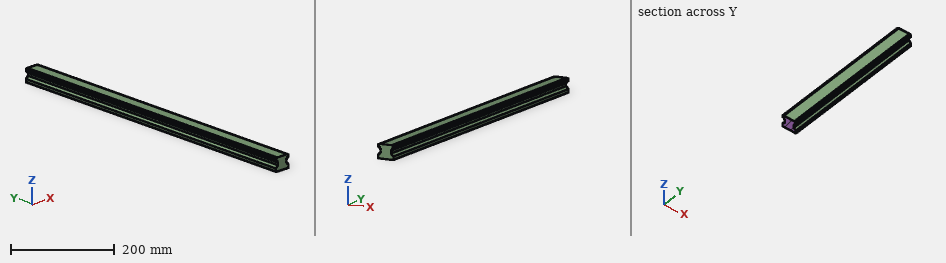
import cadquery as cq

width = 34.0
length = 690.0
height = 29.0

top_width = 26.8
shoulder_width = 33.0
shoulder_height = 27.6
head_side_top = 25.4
head_side_bottom = 23.5
underside_step_width = 27.0
underside_step_top = 22.3
underside_step_bottom = 20.6

neck_width = 23.4
neck_top = 18.3
neck_bottom = 12.6

foot_side_top = 7.2
base_chamfer = 1.0


def half_section():
    """Points (x, z) of the +X half of the section, from the base up to the top face."""
    foot = [
        (width / 2 - base_chamfer, 0),
        (width / 2, base_chamfer),
        (width / 2, foot_side_top),
    ]
    neck = [
        (neck_width / 2, neck_bottom),
        (neck_width / 2, neck_top),
    ]
    head = [
        (underside_step_width / 2, underside_step_bottom),
        (underside_step_width / 2, underside_step_top),
        (width / 2, head_side_bottom),
        (width / 2, head_side_top),
        (shoulder_width / 2, shoulder_height),
        (top_width / 2, height),
    ]
    return foot + neck + head


def rail():
    """The mirrored section swept along the full length."""
    right_side = half_section()
    left_side = [(-x, z) for x, z in reversed(right_side)]
    outline = cq.Workplane("XZ").polyline(right_side + left_side).close()
    return outline.extrude(length / 2, both=True)


result = rail()